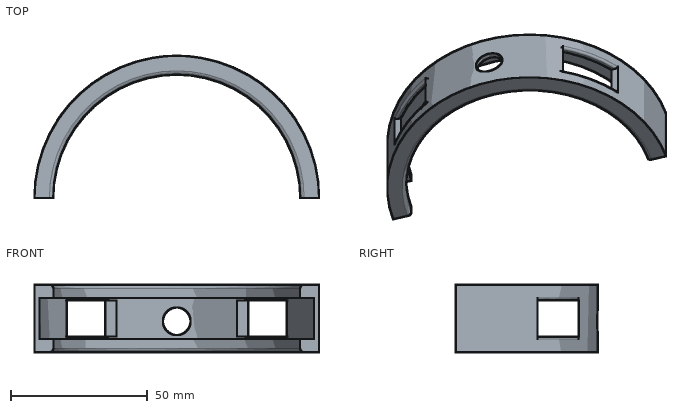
import cadquery as cq

outer_radius = 52.1
height = 24.8
rim_depth = 7.0
rim_round = 1.5

wall = 2.0
channel_height = 15.0

window_near_y = 30.0
window_far_y = 45.0
window_height = 13.2
window_round = 0.9

hole_diameter = 10.0
hole_drop = 1.0

tolerance = 0.01

rim_radius = outer_radius - rim_depth
channel_radius = outer_radius - wall


def half_disc(radius, thickness):
    """Half cylinder on the +Y side, centred on Z = 0."""
    return (
        cq.Workplane("XY", origin=(0, 0, -thickness / 2))
        .moveTo(-radius, 0)
        .threePointArc((0, radius), (radius, 0))
        .close()
        .extrude(thickness)
    )


def half_ring():
    """C-shaped section swept through half a turn, with rounded bore edges."""
    ring = half_disc(outer_radius, height).cut(half_disc(rim_radius, height))
    bore_edges = cq.selectors.RadiusNthSelector(0)
    ring = ring.edges(bore_edges).fillet(rim_round)
    return ring.cut(half_disc(channel_radius, channel_height))


def cut_windows(body):
    """Cut the opposed windows and round their outer upper and lower edges."""
    window = cq.Workplane("XY").box(
        2 * outer_radius, window_far_y - window_near_y, window_height
    ).translate((0, (window_near_y + window_far_y) / 2, 0))
    body = body.cut(window)

    def on_outer_window_arc(edge):
        if edge.geomType() != "CIRCLE":
            return False
        at_window = abs(abs(edge.Center().z) - window_height / 2) < tolerance
        return at_window and abs(edge.radius() - outer_radius) < tolerance

    return body.edges().filter(on_outer_window_arc).fillet(window_round)


def cut_hole(body):
    """Cut the round hole through the wall along Y."""
    drill = (
        cq.Workplane("XZ", origin=(0, 0, -hole_drop))
        .circle(hole_diameter / 2)
        .extrude(-outer_radius)
    )
    return body.cut(drill)


result = cut_hole(cut_windows(half_ring()))